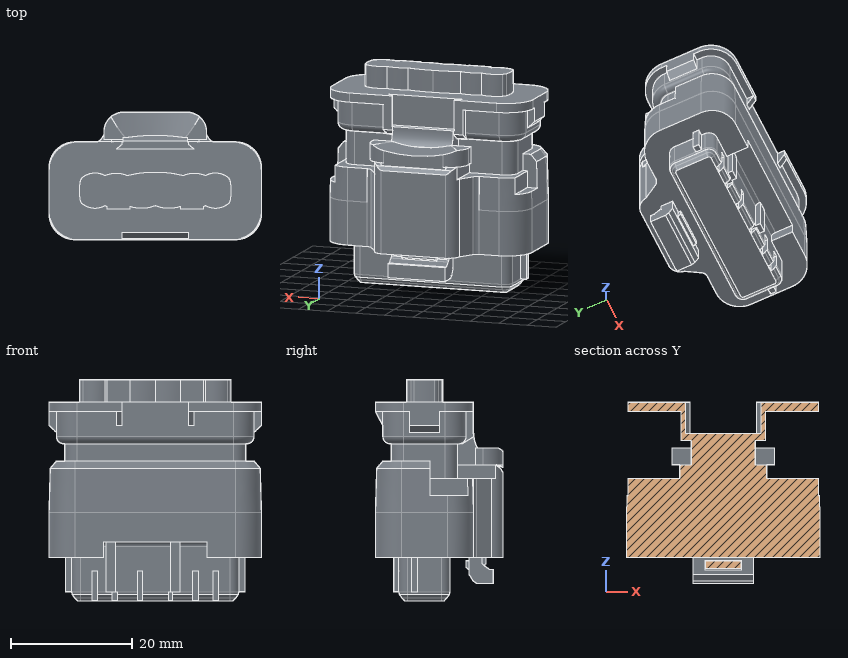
import cadquery as cq
import math


tip_height = 1.54
hook_bottom = 2.9
housing_bottom = 7.18
notch_top = 9.78
taper_start = 14.65
ledge_height = 17.48
rear_top = 20.28
shoulder_height = 21.93
pad_bottom = 22.5
housing_top = 23.1
pad_top = 25.3
collar_bottom = 25.96
notch_floor = 27.7
flange_bottom = 31.3
flange_top = 32.85
total_height = 36.55

housing_corner_x = 13.25
housing_corner_y = 3.8
housing_radius = 4.3
shoulder_radius = 4.1
housing_top_radius = 3.1
housing_front = -(housing_corner_y + housing_radius)
rear_step_y = 0.95
rear_half_width = 15.75
front_notch_left = -8.53
front_notch_right = 8.56
notch_fillet = 0.75

collar_corner_x = 12.88
collar_corner_y = 3.43
flange_radius = 4.67
collar_radius = 3.45
neck_radius = 2.07
collar_bottom_fillet = 1.24
flange_half_depth = collar_corner_y + flange_radius
flange_half_width = collar_corner_x + flange_radius
collar_half_depth = collar_corner_y + collar_radius
collar_half_width = collar_corner_x + collar_radius
flange_notch_half = 5.45
gusset_width = 0.95
gusset_bottom = 28.97
side_tab_half_depth = 2.48
side_tab_straight_bottom = 29.0
side_tab_bottom = 27.85

plug_half_width = 12.53
plug_end_x = 12.35
plug_end_y = 1.7
plug_waist_x = 8.3
plug_rear = 3.05
plug_rear_valley = 2.51
plug_front_valley = -2.46
plug_front_lobe = -2.88
plug_key_inner = 4.13
plug_key_outer = 8.0
plug_key_root = -2.6
plug_key_front = -2.97

insert_half_width = 13.83
insert_half_depth = 4.25
insert_corner_radius = 1.45
tip_sections = (
    (0, 0.42),
    (0.56, 0.95),
    (1.07, 1.33),
    (tip_height, insert_corner_radius),
)
key_front = -5.1
key_half_width = 14.85
side_key_rear = -1.1
side_key_front = -2.13
front_keys = ((-8.14, -6.6), (2.5, 4.07))
slot_depth = 0.95
tall_slot_top = 5.0
tall_slots = ((-10.45, -9.55), (-2.92, -2.08), (6.19, 7.15), (9.52, 10.48))
short_slots = ((-7.1, -6.25), (2.15, 2.88))

latch_rear = 13.0
tower_upper_half = 7.2
tower_rear_half = 5.6
flare_half = 9.8
pad_half_width = 8.5
pad_front = 8.45
pad_radius = 3.3
lip_front = 11.9
lip_bottom = 22.05
scoop_radius = 25.0
scoop_depth_front = 0.45
scoop_slope = 0.177
arm_half_width = 5.3
arm_foot_y = 9.1
arm_foot_top = 24.8
arm_top_y = 8.18

rib_half_width = 7.0
rib_root_y = 6.2
rib_bottom = 27.1
dovetail_mouth_y = 7.7

hook_front = 7.35
hook_rear = 11.37
hook_half_width = 5.0
stop_front = 6.83
stem_front = 9.5
stem_rear = 10.2
stem_half_width = 3.0
stem_bottom = 6.2
stop_top = 6.7
throat_y = 9.85
throat_top = 5.9
hook_lip_top = 5.25

overlap = 1.0
latch_root_y = collar_corner_y + neck_radius - overlap


def box(x0, x1, y0, y1, z0, z1):
    """Axis-aligned block between opposite corners."""
    return cq.Workplane("XY").box(x1 - x0, y1 - y0, z1 - z0, centered=False).translate((x0, y0, z0))


def rounded_sketch(corner_x, corner_y, radius):
    """Rounded rectangle given its corner centres and corner radius."""
    outline = cq.Sketch().rect(2 * (corner_x + radius), 2 * (corner_y + radius))
    return outline.vertices().fillet(radius)


def rounded_block(corner_x, corner_y, radius, z0, z1):
    outline = rounded_sketch(corner_x, corner_y, radius)
    return cq.Workplane("XY").workplane(offset=z0).placeSketch(outline).extrude(z1 - z0)


def side_profile(points, x0, x1):
    """Prism along X between x0 and x1 from a (y, z) polygon."""
    return cq.Workplane("YZ").workplane(offset=x0).polyline(points).close().extrude(x1 - x0)


def rounded_loft(corner_x, corner_y, radius0, z0, radius1, z1):
    """Tapered block between two rounded rectangles that share their corner centres."""
    lower = rounded_sketch(corner_x, corner_y, radius0)
    upper = rounded_sketch(corner_x, corner_y, radius1)
    rise = cq.Location(cq.Vector(0, 0, z1 - z0))
    return cq.Workplane("XY").workplane(offset=z0).placeSketch(lower, upper.moved(rise)).loft()


def make_housing():
    """Straight skirt, tapered upper wall and chamfered shoulder, lowered behind the neck."""
    body = rounded_block(housing_corner_x, housing_corner_y, housing_radius, housing_bottom, taper_start)
    bands = (
        (housing_radius, taper_start, shoulder_radius, shoulder_height),
        (shoulder_radius, shoulder_height, housing_top_radius, housing_top),
    )
    for band in bands:
        body = body.union(rounded_loft(housing_corner_x, housing_corner_y, *band))
    reach = housing_corner_x + housing_radius + overlap
    rear = housing_corner_y + housing_radius + overlap
    body = body.cut(box(-reach, reach, rear_step_y, rear, rear_top, housing_top + overlap))
    for x0, x1 in ((-reach, -rear_half_width), (rear_half_width, reach)):
        body = body.cut(box(x0, x1, rear_step_y, rear, ledge_height, rear_top))
    notch = (
        cq.Workplane("YZ").workplane(offset=front_notch_left)
        .moveTo(housing_front - overlap, housing_bottom - overlap)
        .lineTo(-insert_half_depth, housing_bottom - overlap)
        .lineTo(-insert_half_depth, notch_top - notch_fillet)
        .radiusArc((-insert_half_depth - notch_fillet, notch_top), -notch_fillet)
        .lineTo(housing_front - overlap, notch_top)
        .close()
        .extrude(front_notch_right - front_notch_left)
    )
    return body.cut(notch)


def make_insert():
    """Rounded-tip contact insert with front keys, side keys and narrow slots."""
    corner_x = insert_half_width - insert_corner_radius
    corner_y = insert_half_depth - insert_corner_radius
    insert = rounded_block(corner_x, corner_y, insert_corner_radius, tip_height, notch_top)
    for (z0, radius0), (z1, radius1) in zip(tip_sections, tip_sections[1:]):
        insert = insert.union(rounded_loft(corner_x, corner_y, radius0, z0, radius1, z1))
    for x0, x1 in front_keys:
        insert = insert.union(box(x0, x1, key_front, 0, tip_height, notch_top))
    insert = insert.union(
        box(-key_half_width, key_half_width, side_key_front, side_key_rear, tip_height, notch_top)
    )
    slot_floor = slot_depth - insert_half_depth
    for x0, x1 in tall_slots:
        insert = insert.cut(box(x0, x1, key_front - overlap, slot_floor, 0, tall_slot_top))
    for x0, x1 in short_slots:
        insert = insert.cut(box(x0, x1, key_front - overlap, slot_floor, 0, tip_height))
    return insert


def make_collar():
    """Neck, collar and flange with the front notch, its gussets and the two side tabs."""
    collar = rounded_block(collar_corner_x, collar_corner_y, collar_radius, collar_bottom, flange_top)
    collar = collar.faces("<Z").edges().fillet(collar_bottom_fillet)
    collar = collar.union(
        rounded_block(collar_corner_x, collar_corner_y, neck_radius, ledge_height, flange_bottom)
    )
    flange = rounded_block(collar_corner_x, collar_corner_y, flange_radius, flange_bottom, flange_top)
    notch_half = flange_notch_half
    flange = flange.cut(
        box(-notch_half, notch_half, -flange_half_depth, -collar_half_depth, flange_bottom, flange_top)
    )
    collar = collar.union(flange)
    gusset = (
        (-collar_half_depth + overlap, flange_bottom),
        (-flange_half_depth, flange_bottom),
        (-collar_half_depth, gusset_bottom),
        (-collar_half_depth + overlap, gusset_bottom),
    )
    for x0 in (-notch_half - gusset_width, notch_half):
        collar = collar.union(side_profile(gusset, x0, x0 + gusset_width))
    tabs = (
        cq.Workplane("XZ").workplane(offset=-side_tab_half_depth)
        .polyline([
            (-flange_half_width, flange_bottom),
            (flange_half_width, flange_bottom),
            (flange_half_width, side_tab_straight_bottom),
            (collar_half_width, side_tab_bottom),
            (-collar_half_width, side_tab_bottom),
            (-flange_half_width, side_tab_straight_bottom),
        ])
        .close()
        .extrude(2 * side_tab_half_depth)
    )
    return collar.union(tabs)


def make_plug():
    """Lobed stub on top of the flange, symmetric about X = 0."""
    right_half = (
        cq.Workplane("XY").workplane(offset=flange_top)
        .moveTo(0, plug_front_valley)
        .threePointArc((2.05, plug_front_lobe), (plug_key_inner, plug_key_root))
        .lineTo(plug_key_inner, plug_key_front)
        .lineTo(plug_key_outer, plug_key_front)
        .lineTo(plug_key_outer, plug_key_root)
        .lineTo(plug_waist_x, plug_front_valley)
        .threePointArc((10.2, plug_front_lobe), (11.9, -2.25))
        .threePointArc((12.2, -2.0), (plug_end_x, -plug_end_y))
        .threePointArc((plug_half_width, 0), (plug_end_x, plug_end_y))
        .threePointArc((12.2, 2.0), (11.9, 2.3))
        .threePointArc((10.1, 2.93), (plug_waist_x, plug_rear_valley))
        .threePointArc((6.45, 2.89), (4.6, plug_rear_valley))
        .threePointArc((2.3, 2.95), (0, plug_rear))
        .close()
        .extrude(total_height - flange_top)
    )
    return right_half.union(right_half.mirror("YZ"))


def make_tower():
    """Latch tower behind the housing: flared sides, rounded rear corners, narrowed top."""
    left_half = (
        cq.Workplane("XY").workplane(offset=housing_bottom)
        .moveTo(0, latch_root_y)
        .lineTo(-flare_half, latch_root_y)
        .lineTo(-flare_half, -housing_front)
        .threePointArc((-9.25, 8.25), (-8.9, 8.6))
        .lineTo(-7.4, 11.1)
        .threePointArc((-6.75, 12.4), (-tower_rear_half, latch_rear))
        .lineTo(0, latch_rear)
        .close()
        .extrude(pad_bottom - housing_bottom)
    )
    tower = left_half.union(left_half.mirror("YZ"))
    reach = flare_half + overlap
    for x0, x1 in ((-reach, -tower_upper_half), (tower_upper_half, reach)):
        tower = tower.cut(box(x0, x1, 0, latch_rear, rear_top, pad_bottom))
    rear_bevel = ((latch_rear, 21.2), (12.6, 21.9), (11.8, pad_bottom), (latch_rear, pad_bottom))
    return tower.cut(side_profile(rear_bevel, -reach, reach))


def make_pad():
    """Thumb pad with a shallow widening scoop and a small lip under its rear edge."""
    pad = box(-pad_half_width, pad_half_width, pad_front, latch_rear, pad_bottom, pad_top)
    pad = pad.edges("|Z and >Y").fillet(pad_radius)
    tilt = math.degrees(math.atan(scoop_slope))
    scoop_length = 2 * (latch_rear - pad_front)
    scoop = (
        cq.Workplane("XZ")
        .circle(scoop_radius)
        .extrude(-scoop_length)
        .rotate((0, 0, -scoop_radius), (1, 0, -scoop_radius), -tilt)
        .translate((0, pad_front, pad_top - scoop_depth_front + scoop_radius))
    )
    pad = pad.cut(scoop)
    lip = ((latch_rear, lip_bottom), (latch_rear, pad_bottom), (lip_front, pad_bottom))
    return pad.union(side_profile(lip, -tower_rear_half, tower_rear_half))


def make_arm():
    """Arm that joins the thumb pad to the back of the collar in a concave sweep."""
    return (
        cq.Workplane("YZ").workplane(offset=-arm_half_width)
        .moveTo(latch_root_y, rear_top)
        .lineTo(arm_foot_y, rear_top)
        .lineTo(arm_foot_y, arm_foot_top)
        .threePointArc((8.45, 26.0), (arm_top_y, notch_floor))
        .lineTo(latch_root_y, notch_floor)
        .close()
        .extrude(2 * arm_half_width)
    )


def add_rear_ribs(body):
    """Cut the dovetail notch behind the collar and leave a rib standing at each end of it."""
    ribs = side_profile(
        (
            (rib_root_y, collar_bottom),
            (flange_half_depth, rib_bottom),
            (flange_half_depth, flange_bottom),
            (rib_root_y, flange_bottom),
        ),
        -rib_half_width, rib_half_width,
    )
    mouth = flange_notch_half
    base = flange_notch_half + gusset_width
    dovetail = (
        cq.Workplane("XY").workplane(offset=notch_floor)
        .polyline([
            (-mouth, latch_rear),
            (-mouth, dovetail_mouth_y),
            (-base, collar_half_depth),
            (base, collar_half_depth),
            (mouth, dovetail_mouth_y),
            (mouth, latch_rear),
        ])
        .close()
        .extrude(total_height - notch_floor)
    )
    return body.union(ribs).cut(dovetail)


def make_hook():
    """Hooked tail of the latch below the housing, with a narrow stem behind it and a stop in front."""
    hook = side_profile(
        (
            (hook_front, housing_bottom + overlap),
            (stem_front, housing_bottom + overlap),
            (stem_front, stem_bottom),
            (throat_y, throat_top),
            (10.75, hook_lip_top),
            (hook_rear, hook_lip_top),
            (hook_rear, hook_bottom),
            (8.65, hook_bottom),
            (8.05, 3.3),
            (hook_front, 4.4),
        ),
        -hook_half_width, hook_half_width,
    )
    stem = (
        (stem_front, housing_bottom + overlap),
        (stem_rear, housing_bottom + overlap),
        (stem_rear, stem_bottom),
        (throat_y, throat_top),
        (stem_front, stem_bottom),
    )
    stop = ((hook_front + overlap, stop_top), (stop_front, stop_top), (stop_front, 5.6), (hook_front, 5.15))
    for profile in (stem, stop):
        hook = hook.union(side_profile(profile, -stem_half_width, stem_half_width))
    return hook


result = make_housing().union(make_insert()).union(make_collar()).union(make_plug())
result = result.union(make_tower()).union(make_pad()).union(make_arm())
result = add_rear_ribs(result).union(make_hook())